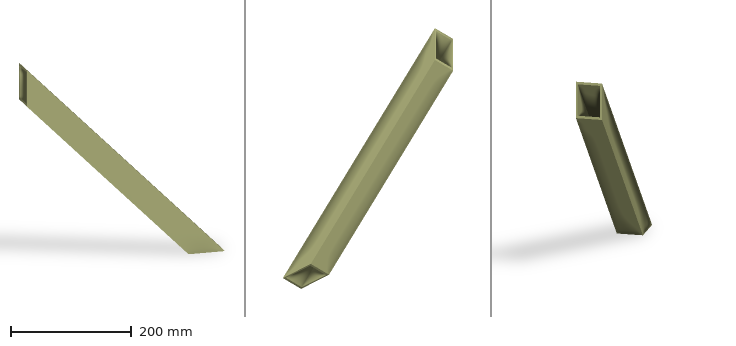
import cadquery as cq
import math

reach = 343.0
tube_side = 44.5
wall = 3.0

miter_stretch = math.sqrt(2)


def sloped_bar(width, inset):
    """Bar between the two mitre planes, its sloped faces set in by the inset."""
    half = reach / 2
    margin = inset * miter_stretch
    end_length = tube_side * miter_stretch
    profile = [
        (half - margin, -half),
        (-half, half - margin),
        (-half, half - end_length + margin),
        (half - end_length + margin, -half),
    ]
    return cq.Workplane("YZ").polyline(profile).close().extrude(width / 2, both=True)


outer = sloped_bar(tube_side, 0)
bore = sloped_bar(tube_side - 2 * wall, wall)
result = outer.cut(bore)